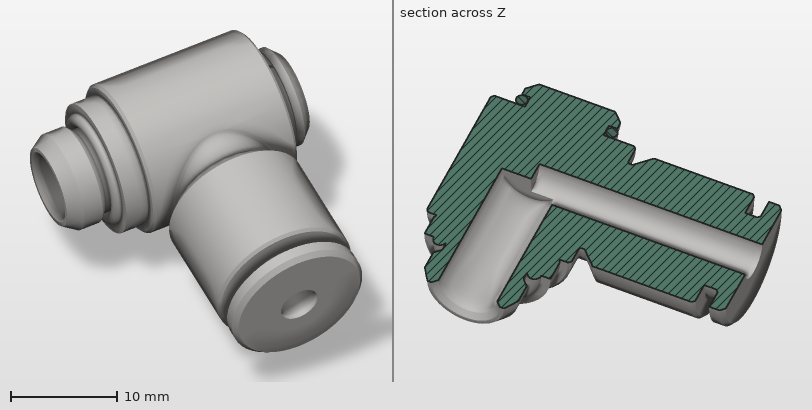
import cadquery as cq
import math


barrel_radius = 7.5
barrel_half_length = 7.55
barrel_chamfer = 0.27

cap_end = 10.52
cap_radius = 4.95
cap_chamfer = 1.0
wire_radius = 0.58
ring_center_radius = 4.67
ring_gap = 0.43
groove_floor_radius = ring_center_radius - wire_radius
groove_end = barrel_half_length + 2 * wire_radius
ring_y = barrel_half_length + wire_radius

spigot_end = -14.98
step_radius = 6.45
flange_radius = 6.53
flange_start = -7.75
flange_end = -10.0
bead_radius = 0.7
bead_center_radius = 4.88
neck_radius = 4.2
neck_end = -11.0
plug_radius = 4.85
plug_start = neck_end - (plug_radius - neck_radius)
plug_taper_start = -13.63
spigot_tip_radius = 3.95

arm_neck_radius = 5.5
arm_neck_end = 8.0
socket_radius = 7.0
socket_start = arm_neck_end + (socket_radius - arm_neck_radius)
socket_end = 20.0
socket_chamfer = 0.27
collet_radius = 4.7
collet_flare = 0.25
collar_radius = 6.83
collar_start = 21.47
collar_chamfer = 0.45
arm_end = 30.5 - barrel_radius
junction_fillet = 0.2

spigot_bore_radius = 3.02
spigot_bore_chamfer = 0.52
arm_bore_radius = 1.92


def revolve_about_y(outline):
    return outline.close().revolve(360, (0, 0, 0), (0, 1, 0))


def make_barrel():
    barrel = cq.Workplane("XZ").circle(barrel_radius).extrude(barrel_half_length, both=True)
    return barrel.faces("<Y or >Y").chamfer(barrel_chamfer)


def make_arm_neck():
    return cq.Workplane("YZ").circle(arm_neck_radius).extrude(arm_neck_end)


def make_socket_and_collet():
    outline = (
        cq.Workplane("XY")
        .moveTo(arm_neck_end, 0)
        .lineTo(arm_neck_end, arm_neck_radius)
        .lineTo(socket_start, socket_radius)
        .lineTo(socket_end - socket_chamfer, socket_radius)
        .lineTo(socket_end, socket_radius - socket_chamfer)
        .lineTo(socket_end, collet_radius)
        .lineTo(collar_start - collet_flare, collet_radius)
        .lineTo(collar_start, collet_radius + collet_flare)
        .lineTo(collar_start, collar_radius)
        .lineTo(arm_end - collar_chamfer, collar_radius)
        .lineTo(arm_end, collar_radius - collar_chamfer)
        .lineTo(arm_end, 0)
    )
    return outline.close().revolve(360, (0, 0, 0), (1, 0, 0))


def make_cap():
    outline = (
        cq.Workplane("XY")
        .moveTo(0, 0)
        .lineTo(groove_floor_radius, 0)
        .lineTo(groove_floor_radius, groove_end)
        .lineTo(cap_radius, groove_end)
        .lineTo(cap_radius, cap_end - cap_chamfer)
        .lineTo(cap_radius - cap_chamfer, cap_end)
        .lineTo(0, cap_end)
    )
    return revolve_about_y(outline)


def make_spigot():
    bead_drop = math.sqrt(bead_radius**2 - (bead_center_radius - neck_radius) ** 2)
    outline = (
        cq.Workplane("XY")
        .moveTo(0, 0)
        .lineTo(step_radius, 0)
        .lineTo(step_radius, flange_start)
        .lineTo(flange_radius, flange_start)
        .lineTo(flange_radius, flange_end)
        .lineTo(bead_center_radius + bead_radius, flange_end)
        .threePointArc(
            (bead_center_radius, flange_end - bead_radius),
            (neck_radius, flange_end - bead_drop),
        )
        .lineTo(neck_radius, neck_end)
        .lineTo(plug_radius, plug_start)
        .lineTo(plug_radius, plug_taper_start)
        .lineTo(spigot_tip_radius, spigot_end)
        .lineTo(0, spigot_end)
    )
    return revolve_about_y(outline)


def make_spigot_bore():
    outline = (
        cq.Workplane("XY")
        .lineTo(spigot_bore_radius, 0)
        .lineTo(spigot_bore_radius, spigot_end + spigot_bore_chamfer)
        .lineTo(spigot_bore_radius + spigot_bore_chamfer, spigot_end)
        .lineTo(0, spigot_end)
    )
    return revolve_about_y(outline)


def make_arm_bore():
    return cq.Workplane("YZ").circle(arm_bore_radius).extrude(arm_end)


def make_fitting():
    barrel_with_neck = make_barrel().union(make_arm_neck())
    junction = barrel_with_neck.edges("(not %CIRCLE) and (not %LINE)")
    fitting = junction.fillet(junction_fillet)
    for section in (make_socket_and_collet(), make_cap(), make_spigot()):
        fitting = fitting.union(section)
    return fitting.cut(make_spigot_bore()).cut(make_arm_bore())


def make_retaining_ring():
    ring = (
        cq.Workplane("XY")
        .center(ring_center_radius, ring_y)
        .circle(wire_radius)
        .revolve(360, (-ring_center_radius, 0, 0), (-ring_center_radius, 1, 0))
    )
    split = (
        cq.Workplane("XY")
        .box(ring_gap, 4 * wire_radius, 4 * wire_radius)
        .translate((0, ring_y, ring_center_radius))
    )
    return ring.cut(split)


fitting = make_fitting()
retaining_ring = make_retaining_ring()

result = cq.Compound.makeCompound([fitting.val(), retaining_ring.val()])